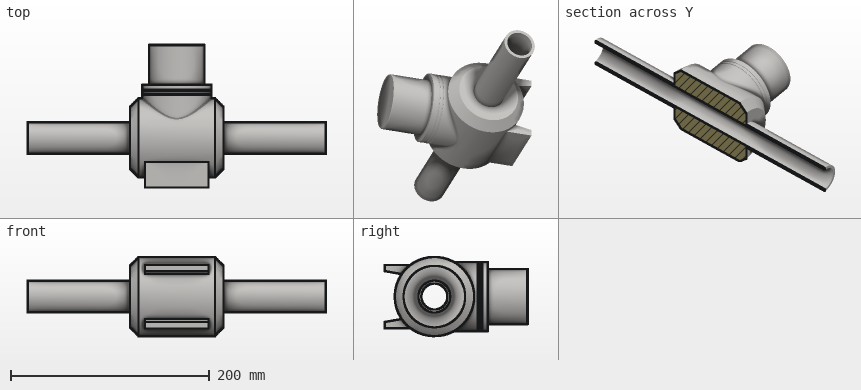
import math

import cadquery as cq

PIPE_LENGTH = 300.0
PIPE_DIAMETER = 32.0
BORE_DIAMETER = 26.0

BODY_LENGTH = 94.5
BODY_DIAMETER = 80.0
BODY_CHAMFER = 9.0

COLLAR_DIAMETER = 70.0
COLLAR_END = 54.0
SPIGOT_DIAMETER = 56.0
SPIGOT_END = 94.0
COLLAR_CHAMFER = 0.5
SPIGOT_CHAMFER_LENGTH = 1.0
SPIGOT_CHAMFER_DEPTH = 0.5
BRANCH_ROOT_FILLET = 1.0

GROOVE_STARTS = (43.3, 47.0)
GROOVE_WIDTH = 1.6
GROOVE_DEPTH = 0.5

FOOT_LENGTH = 64.0
FOOT_TIP_Y = -50.0
FOOT_OUTER_Z = 32.0
FOOT_TIP_THICKNESS = 6.5
FOOT_TAPER_ANGLE = 10.0


def rod_along_x(diameter, length):
    return cq.Workplane("YZ").circle(diameter / 2).extrude(length / 2, both=True)


def rod_along_y(diameter, start, end):
    return cq.Workplane("XZ", origin=(0, start, 0)).circle(diameter / 2).extrude(start - end)


def make_body():
    return rod_along_x(BODY_DIAMETER, BODY_LENGTH).faces("<X or >X").chamfer(BODY_CHAMFER)


def make_collar():
    return rod_along_y(COLLAR_DIAMETER, 0, COLLAR_END).faces(">Y").chamfer(COLLAR_CHAMFER)


def fillet_branch_root(body_and_collar):
    return body_and_collar.edges("not(%LINE or %CIRCLE)").fillet(BRANCH_ROOT_FILLET)


def make_groove(start):
    end = start + GROOVE_WIDTH
    core = rod_along_y(COLLAR_DIAMETER - 2 * GROOVE_DEPTH, start, end)
    return rod_along_y(COLLAR_DIAMETER, start, end).cut(core)


def make_spigot():
    spigot = rod_along_y(SPIGOT_DIAMETER, 0, SPIGOT_END)
    return spigot.faces(">Y").chamfer(SPIGOT_CHAMFER_LENGTH, SPIGOT_CHAMFER_DEPTH)


def make_foot():
    root_y = -math.sqrt((BODY_DIAMETER / 2) ** 2 - FOOT_OUTER_Z**2)
    tip_inner_z = FOOT_OUTER_Z - FOOT_TIP_THICKNESS
    root_inner_z = tip_inner_z - (root_y - FOOT_TIP_Y) * math.tan(math.radians(FOOT_TAPER_ANGLE))
    profile = [
        (FOOT_TIP_Y, FOOT_OUTER_Z),
        (FOOT_TIP_Y, tip_inner_z),
        (root_y, root_inner_z),
        (root_y, FOOT_OUTER_Z),
    ]
    return cq.Workplane("YZ").polyline(profile).close().extrude(FOOT_LENGTH / 2, both=True)


result = fillet_branch_root(make_body().union(make_collar()))
for groove_start in GROOVE_STARTS:
    result = result.cut(make_groove(groove_start))
result = result.union(make_spigot())

foot = make_foot()
result = result.union(foot).union(foot.mirror("XY"))

result = result.union(rod_along_x(PIPE_DIAMETER, PIPE_LENGTH))
result = result.cut(rod_along_x(BORE_DIAMETER, PIPE_LENGTH))